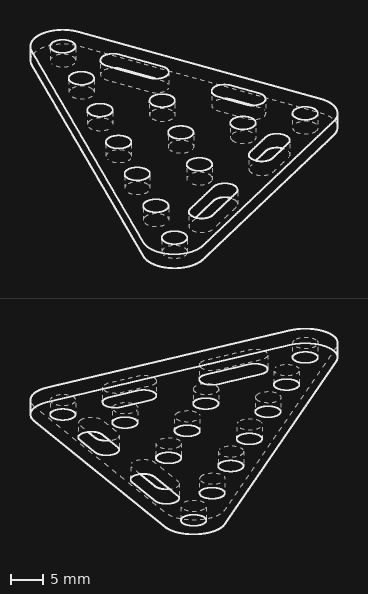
import cadquery as cq

length = 69.95
thickness = 2.5
columns = 7
rows = (columns + 1) // 2
pitch = length / columns
corner_radius = pitch / 2
half_base = (columns - 1) * pitch / 2

hole_diameter = 3.9
slot_spans = [(6.2, 11.55), (2 * pitch, 23.5)]


def make_plate():
    """Right isosceles triangle of hole centres, grown outwards with round corners."""
    return (
        cq.Workplane("XY")
        .polyline([(-half_base, 0), (half_base, 0), (0, half_base)])
        .close()
        .offset2D(corner_radius, "arc")
        .extrude(thickness)
    )


def hole_centres():
    """Square grid: the base row is full, the rows above narrow towards the apex."""
    centres = [((i - (columns - 1) / 2) * pitch, 0) for i in range(columns)]
    for row in range(1, rows - 1):
        reach = rows - 2 - row
        centres += [(i * pitch, row * pitch) for i in range(-reach, reach + 1)]
    centres.append((0, half_base))
    return centres


def make_slot(low, high, side):
    """Slot cutter along one sloping edge; side is -1 for left and 1 for right."""
    rise = high - low
    middle = (low + high) / 2
    overall_length = rise * 2 ** 0.5 + hole_diameter
    return (
        cq.Workplane("XY")
        .center(side * (half_base - middle), middle)
        .slot2D(overall_length, hole_diameter, angle=-side * 45)
        .extrude(thickness)
    )


result = make_plate()
result = result.cut(
    cq.Workplane("XY").pushPoints(hole_centres()).circle(hole_diameter / 2).extrude(thickness)
)
for low, high in slot_spans:
    for side in (-1, 1):
        result = result.cut(make_slot(low, high, side))